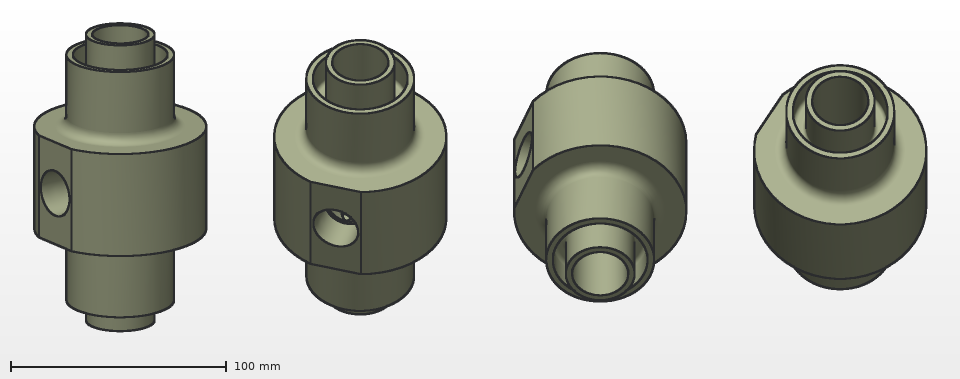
import cadquery as cq
import math

total_length = 140.0
body_height = 50.0
tube_projection = 10.0
sleeve_end = total_length / 2 - tube_projection

bore_radius = 13.0
tube_radius = 16.0
sleeve_inner_radius = 22.0
sleeve_outer_radius = 25.0
body_radius = 80.0 / 2
root_fillet = 5.0

gap_depth = 15.0
gap_floor = sleeve_end - gap_depth
gap_floor_fillet = 2.0

flat_distance = 78.0 - body_radius
port_mouth_radius = 10.9
port_ledge_radius = 10.4
port_depth = flat_distance - sleeve_inner_radius

tip_radius = 9.0
tip_half_angle = math.radians(59)
tip_length = tip_radius / math.tan(tip_half_angle)

cavity_radius = 3.0
cavity_height = 2 * tip_radius
cavity_distance = 18.9


def make_half():
    """Upper half of the turned body, with the bore open and the gap cut."""
    body_top = body_height / 2
    tube_end = total_length / 2
    root_shift = root_fillet * (1 - math.sqrt(0.5))
    floor_shift = gap_floor_fillet * (1 - math.sqrt(0.5))
    profile = (
        cq.Workplane("XZ")
        .moveTo(bore_radius, 0)
        .lineTo(body_radius, 0)
        .lineTo(body_radius, body_top)
        .lineTo(sleeve_outer_radius + root_fillet, body_top)
        .threePointArc(
            (sleeve_outer_radius + root_shift, body_top + root_shift),
            (sleeve_outer_radius, body_top + root_fillet),
        )
        .lineTo(sleeve_outer_radius, sleeve_end)
        .lineTo(sleeve_inner_radius, sleeve_end)
        .lineTo(sleeve_inner_radius, gap_floor + gap_floor_fillet)
        .threePointArc(
            (sleeve_inner_radius - floor_shift, gap_floor + floor_shift),
            (sleeve_inner_radius - gap_floor_fillet, gap_floor),
        )
        .lineTo(tube_radius + gap_floor_fillet, gap_floor)
        .threePointArc(
            (tube_radius + floor_shift, gap_floor + floor_shift),
            (tube_radius, gap_floor + gap_floor_fillet),
        )
        .lineTo(tube_radius, tube_end)
        .lineTo(bore_radius, tube_end)
        .close()
    )
    return profile.revolve(360, (0, 0, 0), (0, 1, 0))


def make_flat_cutter():
    """Block that trims the -Y side of the body to a flat."""
    size = 2 * body_radius
    block = cq.Workplane("XY").box(size, size, body_height)
    return block.translate((0, -flat_distance - size / 2, 0))


def make_port():
    """Tapered port with a flat ledge and a conical tip, along +Y from the flat."""
    ledge_y = -flat_distance + port_depth
    return (
        cq.Workplane("XY")
        .moveTo(0, -flat_distance)
        .lineTo(port_mouth_radius, -flat_distance)
        .lineTo(port_ledge_radius, ledge_y)
        .lineTo(tip_radius, ledge_y)
        .lineTo(0, ledge_y + tip_length)
        .close()
        .revolve(360, (0, 0, 0), (0, 1, 0))
    )


def make_cavity():
    """Upright cylindrical cavity centred on the port axis."""
    return (
        cq.Workplane("XY")
        .cylinder(cavity_height, cavity_radius)
        .translate((0, -cavity_distance, 0))
    )


upper_half = make_half()
body = upper_half.union(upper_half.mirror("XY"))
result = body.cut(make_flat_cutter()).cut(make_port()).cut(make_cavity()).clean()